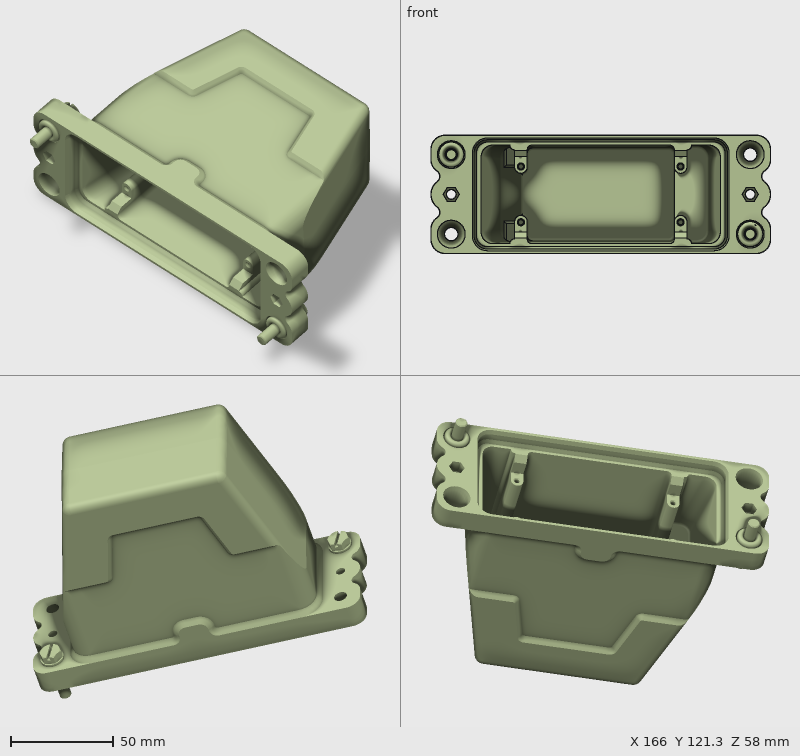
import cadquery as cq
import math

LENGTH = 166.0
WIDTH = 58.0
HALF_LENGTH = LENGTH / 2
HALF_WIDTH = WIDTH / 2
FLANGE_THICK = 12.1
FLANGE_CORNER_R = 7.05
LOBE_TANGENT_Z = 17.0
NOTCH_OUTER_Z = 11.3
NOTCH_INNER_Z = 6.3
NOTCH_EDGE_X = 79.8
NOTCH_FLOOR_X = 78.7

HOLE_X = 73.0
CORNER_HOLE_Z = 19.5
CONE_MOUTH_R = 6.8
CONE_END_R = 3.24
NUT_HOLE_DIA = 4.6
NUT_FLATS = 6.8
NUT_DEPTH = 6.6

HOOD_END = 109.7
HOOD_HALF_X = 61.8
HOOD_HALF_Z = 26.5
HOOD_CORNER_R = 9.0
SLOPE_START = 34.4
SLOPE = 0.275
END_CORNER_R = 5.0
PANEL_EDGE_R = 4.2
DRAFT = 1.0
PANEL_RISE = HALF_WIDTH - HOOD_HALF_Z
SKIRT_HEIGHT = 3.0

SUNKEN_SHOULDER_Y = 57.1
SUNKEN_TOP_Y = 85.0
SUNKEN_SHOULDER_X = 29.7
SUNKEN_TOP_X = SUNKEN_SHOULDER_X - SLOPE * (SUNKEN_TOP_Y - SUNKEN_SHOULDER_Y)
SUNKEN_INNER_R = 1.2
SUNKEN_OUTER_R = 3.7

ARCH_HALF_X = 7.5
ARCH_TOP = 21.4
ARCH_TOP_R = 4.2
ARCH_FOOT_R = 4.2
ARCH_RUN = 3.0

MOUTH_HALF_X = 62.7
MOUTH_HALF_Z = 27.5
MOUTH_CORNER_R = 7.5
RIM_BEVEL = 0.8
RIM_BEVEL_DEPTH = 2.3
SEAT_BEVEL = 1.2
SEAT_BEVEL_START = 6.0
LEDGE_Y = 8.0

POST_X = 39.0
POST_HALF_X = 3.07
POST_TIP_Z = 10.3
POST_HOLE_Z = 13.6
POST_HOLE_DIA = 2.5
POST_HOLE_DEPTH = 13.3
POST_COUNTERSINK_DIA = 3.5
POST_CORNER_R = 2.3
POST_RAMP_Z = 21.4
POST_RAMP = 3.0
POST_FACE_Y = 18.5
RIB_X = 47.3
RIB_Z = 13.1
RIB_FACE_Y = 67.0
RIB_BEVEL = 1.2

CAVITY_FLOOR = 104.5
CAVITY_MOUTH_X = 58.5
CAVITY_BEND_X = 49.0
CAVITY_BEND_Y = 67.0
CAVITY_MOUTH_Z = 24.0
CAVITY_FLOOR_Z = 22.5
CAVITY_CORNER_R = 5.6
STEP_FLOOR = 44.0
STEP_X = POST_X - POST_HALF_X
FLOOR_R = 1.2

SCREW_TIP = 11.6
SHANK_R = 2.9
TIP_BEVEL = 0.5
SEAL_INNER_R = 3.0
SEAL_OUTER_R = 6.1
WASHER_R = 5.8
WASHER_THICK = 1.3
HEAD_TOP = FLANGE_THICK + 5.5
HEAD_ACROSS_CORNERS = 11.3
HEAD_TURN = 11.8
HEAD_BEVEL = 0.7
SLOT_WIDTH = 1.7
SLOT_DEPTH = 2.0


def at_depth(y):
    """Sketch plane at depth y: local x is X, local y is -Z, extrusions go towards +Y."""
    return cq.Workplane(cq.Plane((0, y, 0), (1, 0, 0), (0, 1, 0)))


def mirrored_z(shape):
    return shape.union(shape.mirror("XY"))


def rounded_block(half_x, half_z, radius, start, end):
    block = at_depth(start).rect(2 * half_x, 2 * half_z).extrude(end - start)
    return block.edges("|Y").fillet(radius)


def flange():
    side = HALF_LENGTH
    notch_mid_z = (NOTCH_OUTER_Z + NOTCH_INNER_Z) / 2
    lobe_in = side - NOTCH_EDGE_X
    lobe_run = LOBE_TANGENT_Z - NOTCH_OUTER_Z
    lobe_r = (lobe_in ** 2 + lobe_run ** 2) / (2 * lobe_in)
    half_angle = math.asin(lobe_run / lobe_r) / 2
    lobe_x = side - lobe_r * (1 - math.cos(half_angle))
    lobe_z = LOBE_TANGENT_Z - lobe_r * math.sin(half_angle)

    def scalloped_end(outline, sx, sz):
        """Runs along the end on side sx, from height sz * HALF_WIDTH to the opposite corner."""
        return (
            outline.lineTo(sx * side, sz * HALF_WIDTH)
            .lineTo(sx * side, sz * LOBE_TANGENT_Z)
            .threePointArc((sx * lobe_x, sz * lobe_z), (sx * NOTCH_EDGE_X, sz * NOTCH_OUTER_Z))
            .threePointArc((sx * NOTCH_FLOOR_X, sz * notch_mid_z), (sx * NOTCH_EDGE_X, sz * NOTCH_INNER_Z))
            .threePointArc((sx * side, 0), (sx * NOTCH_EDGE_X, -sz * NOTCH_INNER_Z))
            .threePointArc((sx * NOTCH_FLOOR_X, -sz * notch_mid_z), (sx * NOTCH_EDGE_X, -sz * NOTCH_OUTER_Z))
            .threePointArc((sx * lobe_x, -sz * lobe_z), (sx * side, -sz * LOBE_TANGENT_Z))
            .lineTo(sx * side, -sz * HALF_WIDTH)
        )

    outline = at_depth(0).moveTo(0, HALF_WIDTH)
    outline = scalloped_end(outline, 1, 1)
    outline = scalloped_end(outline, -1, -1)
    plate = outline.close().extrude(FLANGE_THICK)
    for sx in (-1, 1):
        for sz in (-1, 1):
            x, z = sx * HALF_LENGTH, sz * HALF_WIDTH
            corner = cq.selectors.BoxSelector((x - 1.7, -1.7, z - 1.7), (x + 1.7, FLANGE_THICK + 1.7, z + 1.7))
            plate = plate.edges(corner).fillet(FLANGE_CORNER_R)
    return plate


def hood_half_x(y):
    """Half length of the sloped hood at depth y."""
    return HOOD_HALF_X - SLOPE * (y - SLOPE_START)


def sloped_hood():
    """Trapezoid with rounded corners, drafted both ways from the middle plane."""
    base_x = hood_half_x(0)
    end_x = hood_half_x(HOOD_END)
    outline = (
        cq.Sketch()
        .polygon([(-base_x, 0), (base_x, 0), (end_x, HOOD_END), (-end_x, HOOD_END), (-base_x, 0)])
        .vertices(">Y").fillet(END_CORNER_R)
    )
    half = cq.Workplane("XY").placeSketch(outline).extrude(HALF_WIDTH, taper=DRAFT)
    return mirrored_z(half.faces(">Z").edges("not <Y").fillet(PANEL_EDGE_R))


def sunken_face():
    """Space above one sunken face, with sides leaning out at 45 degrees."""
    shoulder = SUNKEN_SHOULDER_X
    top = SUNKEN_TOP_X
    outline = (
        cq.Sketch()
        .polygon([
            (-HALF_LENGTH, 0), (HALF_LENGTH, 0),
            (HALF_LENGTH, SUNKEN_SHOULDER_Y), (shoulder, SUNKEN_SHOULDER_Y), (top, SUNKEN_TOP_Y),
            (-top, SUNKEN_TOP_Y), (-shoulder, SUNKEN_SHOULDER_Y), (-HALF_LENGTH, SUNKEN_SHOULDER_Y),
            (-HALF_LENGTH, 0),
        ])
        .vertices(">Y").fillet(SUNKEN_INNER_R)
        .reset()
        .vertices(cq.selectors.BoxSelector(
            (-shoulder - 1.7, SUNKEN_SHOULDER_Y - 1.7, -1.7), (shoulder + 1.7, SUNKEN_SHOULDER_Y + 1.7, 1.7)
        )).fillet(SUNKEN_OUTER_R)
    )
    floor = cq.Workplane("XY", origin=(0, 0, HOOD_HALF_Z))
    return floor.placeSketch(outline).extrude(2 * PANEL_RISE, taper=-45)


def skirt():
    """Flared foot of the hood on the back of the flange."""
    spread = PANEL_RISE
    base = (
        at_depth(FLANGE_THICK)
        .sketch()
        .rect(2 * (HOOD_HALF_X + spread), 2 * HALF_WIDTH)
        .vertices().fillet(HOOD_CORNER_R + spread)
        .finalize()
    )
    return base.extrude(SKIRT_HEIGHT, taper=math.degrees(math.atan2(spread, SKIRT_HEIGHT)))


def arch_boss():
    """Arch at full flange width whose sides slope out down to the sunken face."""
    foot = ARCH_HALF_X + ARCH_FOOT_R
    start = FLANGE_THICK
    outline = (
        cq.Workplane("XY", origin=(0, 0, HALF_WIDTH))
        .moveTo(-foot, LEDGE_Y)
        .lineTo(foot, LEDGE_Y)
        .lineTo(foot, start)
        .radiusArc((ARCH_HALF_X, start + ARCH_FOOT_R), ARCH_FOOT_R)
        .lineTo(ARCH_HALF_X, ARCH_TOP - ARCH_TOP_R)
        .radiusArc((ARCH_HALF_X - ARCH_TOP_R, ARCH_TOP), -ARCH_TOP_R)
        .lineTo(ARCH_TOP_R - ARCH_HALF_X, ARCH_TOP)
        .radiusArc((-ARCH_HALF_X, ARCH_TOP - ARCH_TOP_R), -ARCH_TOP_R)
        .lineTo(-ARCH_HALF_X, start + ARCH_FOOT_R)
        .radiusArc((-foot, start), ARCH_FOOT_R)
        .close()
    )
    spread_angle = math.degrees(math.atan2(ARCH_RUN, PANEL_RISE))
    return outline.extrude(-PANEL_RISE, taper=-spread_angle)


def mouth_cutter():
    """Bevelled rim and seat around the cavity mouth, down to the ledge."""
    def rim(inset, y):
        return (
            at_depth(y).sketch()
            .rect(2 * (MOUTH_HALF_X - inset), 2 * (MOUTH_HALF_Z - inset))
            .vertices().fillet(MOUTH_CORNER_R - inset)
            .finalize()
        )
    rim_taper = math.degrees(math.atan2(RIM_BEVEL, RIM_BEVEL_DEPTH))
    seat_depth = LEDGE_Y - SEAT_BEVEL_START
    seat_taper = math.degrees(math.atan2(SEAT_BEVEL, seat_depth))
    cutter = rim(0, 0).extrude(RIM_BEVEL_DEPTH, taper=rim_taper)
    cutter = cutter.union(rim(RIM_BEVEL, RIM_BEVEL_DEPTH).extrude(SEAT_BEVEL_START - RIM_BEVEL_DEPTH))
    return cutter.union(rim(RIM_BEVEL, SEAT_BEVEL_START).extrude(seat_depth, taper=seat_taper))


def cavity_room():
    """Cavity with leaning ends, a stepped floor and drafted long walls, before the posts."""
    floor_x = CAVITY_BEND_X - SLOPE * (CAVITY_FLOOR - CAVITY_BEND_Y)
    end_lean = (CAVITY_MOUTH_X - CAVITY_BEND_X) / (CAVITY_BEND_Y - LEDGE_Y)
    step_end_x = CAVITY_MOUTH_X - end_lean * (STEP_FLOOR - LEDGE_Y)
    plan = (
        cq.Workplane("XY")
        .polyline([
            (-CAVITY_MOUTH_X, LEDGE_Y), (-CAVITY_BEND_X, CAVITY_BEND_Y), (-floor_x, CAVITY_FLOOR),
            (STEP_X, CAVITY_FLOOR), (STEP_X, STEP_FLOOR),
            (step_end_x, STEP_FLOOR), (CAVITY_MOUTH_X, LEDGE_Y),
        ])
        .close()
        .extrude(HALF_WIDTH, both=True)
    )
    section = (
        cq.Workplane("YZ", origin=(-HALF_LENGTH, 0, 0))
        .polyline([
            (LEDGE_Y, -CAVITY_MOUTH_Z), (CAVITY_FLOOR, -CAVITY_FLOOR_Z),
            (CAVITY_FLOOR, CAVITY_FLOOR_Z), (LEDGE_Y, CAVITY_MOUTH_Z),
        ])
        .close()
        .extrude(LENGTH)
    )
    room = plan.intersect(section)
    for side in (-1, 1):
        end = cq.selectors.BoxSelector(
            (side * POST_X, 0, -HALF_WIDTH), (side * HALF_LENGTH, HOOD_END, HALF_WIDTH)
        )
        room = room.faces(">Z or <Z").edges(end).edges("not |X").fillet(CAVITY_CORNER_R)
    return room


def post(side):
    """Screw post on the +Z long wall, with a ramp from the ledge to its face.

    It flares into the wall on the side that faces the nearer end of the cavity.
    """
    inner_x = side * (POST_X - POST_HALF_X)
    outer_x = side * (POST_X + POST_HALF_X)
    flare_x = outer_x + side * POST_CORNER_R
    tip_z = POST_TIP_Z + POST_HALF_X
    column = (
        at_depth(LEDGE_Y)
        .moveTo(inner_x, -HALF_WIDTH)
        .lineTo(inner_x, -tip_z)
        .threePointArc((side * POST_X, -POST_TIP_Z), (outer_x, -tip_z))
        .lineTo(outer_x, POST_CORNER_R - CAVITY_MOUTH_Z)
        .radiusArc((flare_x, -CAVITY_MOUTH_Z), side * POST_CORNER_R)
        .lineTo(flare_x, -HALF_WIDTH)
        .close()
        .extrude(HOOD_END - LEDGE_Y)
    )
    shelf_z = POST_RAMP_Z - POST_RAMP
    stepped_side = (
        cq.Workplane("YZ", origin=(-HALF_LENGTH, 0, 0))
        .polyline([
            (LEDGE_Y, HALF_WIDTH), (LEDGE_Y, POST_RAMP_Z), (LEDGE_Y + POST_RAMP, shelf_z),
            (POST_FACE_Y, shelf_z), (POST_FACE_Y, 0), (HOOD_END, 0), (HOOD_END, HALF_WIDTH),
        ])
        .close()
        .extrude(LENGTH)
    )
    return column.intersect(stepped_side)


def rib():
    """Short rib beside the -X post, standing on the leaning end wall."""
    block = cq.Workplane("XY").box(
        RIB_X - POST_X, HOOD_END - RIB_FACE_Y, HALF_WIDTH - RIB_Z, centered=False
    ).translate((-RIB_X, RIB_FACE_Y, RIB_Z))
    return block.faces("<Y").edges("<X or <Z").chamfer(RIB_BEVEL)


def cavity_cutter():
    room = cavity_room()
    step_floor_edges = cq.selectors.BoxSelector(
        (STEP_X + 1.7, STEP_FLOOR - 1.7, -HALF_WIDTH), (HALF_LENGTH, STEP_FLOOR + 1.7, HALF_WIDTH)
    )
    room = room.edges(step_floor_edges).fillet(FLOOR_R)
    for side in (-1, 1):
        room = room.cut(mirrored_z(post(side)))
    for side in (-1, 1):
        x = side * (POST_X - POST_HALF_X)
        post_corners = cq.selectors.BoxSelector(
            (x - 0.2, LEDGE_Y + 1.7, CAVITY_FLOOR_Z - 1.7), (x + 0.2, CAVITY_FLOOR - 0.2, CAVITY_MOUTH_Z)
        )
        post_corners += cq.selectors.BoxSelector(
            (x - 0.2, LEDGE_Y + 1.7, -CAVITY_MOUTH_Z), (x + 0.2, CAVITY_FLOOR - 0.2, 1.7 - CAVITY_FLOOR_Z)
        )
        room = room.edges(post_corners).fillet(POST_CORNER_R)
    room = room.cut(mirrored_z(rib()))
    return room.faces(">Y").edges().fillet(FLOOR_R)


def post_holes():
    points = [(sx * POST_X, sz * POST_HOLE_Z) for sx in (-1, 1) for sz in (-1, 1)]
    sink = (POST_COUNTERSINK_DIA - POST_HOLE_DIA) / 2
    holes = at_depth(POST_FACE_Y).pushPoints(points).circle(POST_HOLE_DIA / 2).extrude(POST_HOLE_DEPTH)
    sinks = at_depth(POST_FACE_Y).pushPoints(points).circle(POST_COUNTERSINK_DIA / 2).extrude(sink, taper=45)
    return holes.union(sinks)


def cone_hole(x, z):
    profile = [(0, 0), (CONE_MOUTH_R, 0), (CONE_END_R, FLANGE_THICK), (0, FLANGE_THICK)]
    cone = cq.Workplane("XY").polyline(profile).close().revolve(360, (0, 0, 0), (0, 1, 0))
    return cone.translate((x, 0, z))


def nut_hole(x):
    """Through hole with a hexagonal nut pocket in the front face."""
    through = at_depth(0).center(x, 0).circle(NUT_HOLE_DIA / 2).extrude(FLANGE_THICK)
    pocket = at_depth(0).center(x, 0).polygon(6, NUT_FLATS / math.cos(math.pi / 6)).extrude(NUT_DEPTH)
    return through.union(pocket)


def make_housing():
    lower = rounded_block(HOOD_HALF_X, HOOD_HALF_Z, HOOD_CORNER_R, 1.7, SUNKEN_TOP_Y + 5)
    hood = sloped_hood()
    panel_part = rounded_block(HALF_LENGTH, HALF_WIDTH, HOOD_CORNER_R, SUNKEN_SHOULDER_Y, HOOD_END)
    upper = hood.intersect(panel_part).cut(mirrored_z(sunken_face()))
    body = upper.union(lower.intersect(hood))
    body = body.union(flange()).union(skirt()).union(mirrored_z(arch_boss()))
    body = body.cut(mouth_cutter()).cut(cavity_cutter()).cut(post_holes())
    for sx in (-1, 1):
        body = body.cut(nut_hole(sx * HOLE_X))
        for sz in (-1, 1):
            body = body.cut(cone_hole(sx * HOLE_X, sz * CORNER_HOLE_Z))
    return body


def make_screw(x, z):
    """Slotted hexagon screw with a conical plug and a rounded seal around its shank."""
    seal_mid = (SEAL_INNER_R + SEAL_OUTER_R) / 2
    seal_r = (SEAL_OUTER_R - SEAL_INNER_R) / 2
    plug_y = FLANGE_THICK * (CONE_MOUTH_R - SEAL_OUTER_R) / (CONE_MOUTH_R - CONE_END_R)
    washer_top = FLANGE_THICK + WASHER_THICK
    turned = (
        cq.Workplane("XY")
        .moveTo(0, -SCREW_TIP)
        .lineTo(SHANK_R - TIP_BEVEL, -SCREW_TIP)
        .lineTo(SHANK_R, TIP_BEVEL - SCREW_TIP)
        .lineTo(SHANK_R, 0)
        .lineTo(SEAL_INNER_R, 0)
        .threePointArc((seal_mid, -seal_r), (SEAL_OUTER_R, 0))
        .lineTo(SEAL_OUTER_R, plug_y)
        .lineTo(CONE_END_R, FLANGE_THICK)
        .lineTo(WASHER_R, FLANGE_THICK)
        .lineTo(WASHER_R, washer_top)
        .lineTo(0, washer_top)
        .close()
        .revolve(360, (0, 0, 0), (0, 1, 0))
    )
    head_height = HEAD_TOP - washer_top
    head_r = HEAD_ACROSS_CORNERS / 2
    head = at_depth(washer_top).polygon(6, HEAD_ACROSS_CORNERS).extrude(head_height)
    bevel = at_depth(washer_top).circle(head_r).extrude(head_height).faces(">Y").chamfer(HEAD_BEVEL)
    slot = at_depth(HEAD_TOP - SLOT_DEPTH).rect(SLOT_WIDTH, 2 * HEAD_ACROSS_CORNERS).extrude(SLOT_DEPTH)
    head = head.intersect(bevel).cut(slot)
    head = head.rotate((0, 0, 0), (0, 1, 0), -HEAD_TURN)
    return turned.union(head).translate((x, 0, z))


housing = make_housing()
screws = [make_screw(side * HOLE_X, -side * CORNER_HOLE_Z) for side in (-1, 1)]
result = cq.Compound.makeCompound([housing.val(), *[screw.val() for screw in screws]])